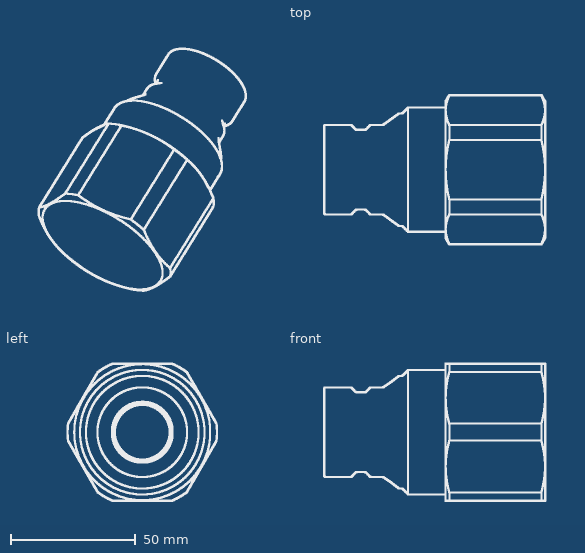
import cadquery as cq
import math

TOTAL_LENGTH = 88.6

NOSE_RADIUS = 18.0
NOSE_LIP_LENGTH = 10.8
NOSE_ROUND = 0.5
GROOVE_RADIUS = 16.0
GROOVE_FAR_EDGE = 18.5
GROOVE_SLOPE = 45.0
NOSE_END = 23.6

COLLAR_RADIUS = 22.6
TAPER_END = 29.95
COLLAR_END = 31.3
BARREL_RADIUS = 25.0
BARREL_SLOPE = 45.0
OUTER_CORNER_ROUND = 0.5
INNER_CORNER_ROUND = 0.7

MATCH_TOLERANCE = 0.01

HEX_START = 48.55
HEX_ACROSS_FLATS = 55.0
HEX_TURNED_DIAMETER = 60.0
HEX_FACE_RADIUS = 27.3
HEX_CHAMFER_ANGLE = 30.0

POPPET_RADIUS = 11.4
SEAT_CLEARANCE = 0.2
POPPET_LENGTH = NOSE_LIP_LENGTH
POPPET_CHAMFER = 0.4
SEAT_CHAMFER = 0.6


def revolved(profile):
    """Closed (axial, radial) profile turned about the X axis."""
    return cq.Workplane("XY").polyline(profile).close().revolve(360, (0, 0, 0), (1, 0, 0))


def rounded(body, corners, round_radius):
    """Fillet the circular edges of a turned body that lie at the given (axial, radial) corners."""
    edges = [
        edge
        for edge in body.edges("%CIRCLE").vals()
        if any(math.dist((edge.Center().x, edge.radius()), corner) < MATCH_TOLERANCE for corner in corners)
    ]
    return body.newObject(edges).fillet(round_radius)


def turned_nose():
    """Nose, groove, shoulder and barrel, with the corners between them rounded."""
    groove_run = (NOSE_RADIUS - GROOVE_RADIUS) / math.tan(math.radians(GROOVE_SLOPE))
    barrel_run = (BARREL_RADIUS - COLLAR_RADIUS) / math.tan(math.radians(BARREL_SLOPE))
    nose_corner = (0, NOSE_RADIUS)
    groove_near_rim = (NOSE_LIP_LENGTH, NOSE_RADIUS)
    groove_near_foot = (NOSE_LIP_LENGTH + groove_run, GROOVE_RADIUS)
    groove_far_foot = (GROOVE_FAR_EDGE - groove_run, GROOVE_RADIUS)
    groove_far_rim = (GROOVE_FAR_EDGE, NOSE_RADIUS)
    taper_foot = (NOSE_END, NOSE_RADIUS)
    taper_top = (TAPER_END, COLLAR_RADIUS)
    barrel_foot = (COLLAR_END, COLLAR_RADIUS)
    body = revolved([
        (0, 0),
        nose_corner,
        groove_near_rim,
        groove_near_foot,
        groove_far_foot,
        groove_far_rim,
        taper_foot,
        taper_top,
        barrel_foot,
        (COLLAR_END + barrel_run, BARREL_RADIUS),
        (HEX_START, BARREL_RADIUS),
        (HEX_START, 0),
    ])
    body = rounded(body, [nose_corner], NOSE_ROUND)
    body = rounded(body, [groove_near_rim, groove_far_rim, taper_top], OUTER_CORNER_ROUND)
    return rounded(body, [groove_near_foot, groove_far_foot, taper_foot, barrel_foot], INNER_CORNER_ROUND)


def hex_section():
    """Hexagonal prism with flats up and down, trimmed by a chamfered turned blank."""
    across_corners = HEX_ACROSS_FLATS / math.cos(math.pi / 6)
    prism = (
        cq.Workplane("YZ")
        .workplane(offset=HEX_START)
        .polygon(6, across_corners)
        .extrude(TOTAL_LENGTH - HEX_START)
    )
    turned_radius = HEX_TURNED_DIAMETER / 2
    chamfer_length = (turned_radius - HEX_FACE_RADIUS) * math.tan(math.radians(HEX_CHAMFER_ANGLE))
    blank = revolved([
        (HEX_START, 0),
        (HEX_START, HEX_FACE_RADIUS),
        (HEX_START + chamfer_length, turned_radius),
        (TOTAL_LENGTH - chamfer_length, turned_radius),
        (TOTAL_LENGTH, HEX_FACE_RADIUS),
        (TOTAL_LENGTH, 0),
    ])
    return prism.intersect(blank)


def poppet_seat():
    """Blind recess for the poppet, slightly wider than it, with a chamfered mouth."""
    seat_radius = POPPET_RADIUS + SEAT_CLEARANCE
    return revolved([
        (0, 0),
        (0, seat_radius + SEAT_CHAMFER),
        (SEAT_CHAMFER, seat_radius),
        (POPPET_LENGTH, seat_radius),
        (POPPET_LENGTH, 0),
    ])


def make_housing():
    return turned_nose().union(hex_section()).cut(poppet_seat())


def make_poppet():
    """Round valve poppet, flush with the nose face, with a chamfered front rim."""
    poppet = cq.Workplane("YZ").circle(POPPET_RADIUS).extrude(POPPET_LENGTH)
    return poppet.faces("<X").edges().chamfer(POPPET_CHAMFER)


housing = make_housing()
poppet = make_poppet()

result = cq.Compound.makeCompound([housing.val(), poppet.val()])